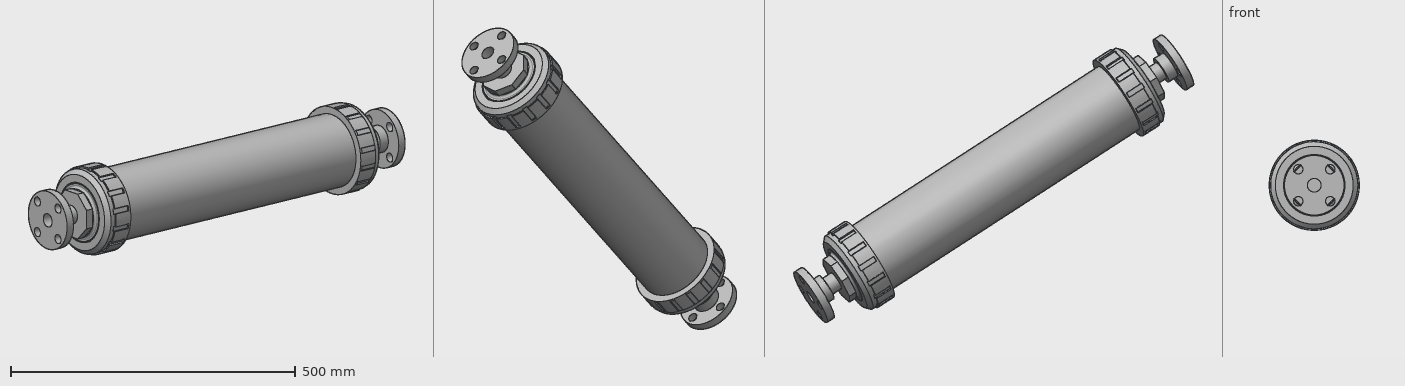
import cadquery as cq
import math

total_length = 778.0
half_length = total_length / 2

flange_diameter = 106.0
flange_thickness = 15.0
bolt_hole_diameter = 16.0
bolt_circle_diameter = 79.0
bolt_count = 4
bore_diameter = 24.0

hub_diameter = 49.0
hub_length = 19.0
pipe_diameter = 33.5
pipe_length = 21.0

nut_side_count = 8
nut_across_flats = 82.5
nut_thickness = 14.0

neck_diameter = 87.0
flare_radius = 5.0
flare_diameter = neck_diameter + 2 * flare_radius
end_piece_diameter = 104.0

cap_face_diameter = 137.0
shoulder_diameter = 153.0
shoulder_chamfer_length = 8.0
shoulder_length = 9.0
grip_diameter = 159.0
grip_length = 34.0

clearance_outer_diameter = 108.0
clearance_depth = 8.0

groove_count = 15
groove_width = 9.0
groove_rim = 4.0
groove_runout = 2.0
groove_floor_radius = 76.0

tube_diameter = 132.0

flange_back = half_length - flange_thickness
hub_back = flange_back - hub_length
pipe_back = hub_back - pipe_length
nut_back = pipe_back - nut_thickness
cap_face = nut_back - flare_radius
clearance_floor = cap_face - clearance_depth
chamfer_back = cap_face - shoulder_chamfer_length
grip_front = chamfer_back - shoulder_length
grip_back = grip_front - grip_length


def cylinder(diameter, start, end):
    """Cylinder on the Y axis between two Y positions."""
    plane = cq.Workplane("XZ", origin=(0, end, 0))
    return plane.circle(diameter / 2).extrude(end - start)


def make_turned_end():
    """Cap, end piece, pipe, hub and flange, turned about Y."""
    flare_reach = flare_radius * math.sqrt(0.5)
    flare_middle = (flare_diameter / 2 - flare_reach, nut_back - flare_reach)
    profile = (
        cq.Workplane("XY")
        .moveTo(0, grip_back)
        .lineTo(grip_diameter / 2, grip_back)
        .lineTo(grip_diameter / 2, grip_front)
        .lineTo(shoulder_diameter / 2, grip_front)
        .lineTo(shoulder_diameter / 2, chamfer_back)
        .lineTo(cap_face_diameter / 2, cap_face)
        .lineTo(clearance_outer_diameter / 2, cap_face)
        .lineTo(clearance_outer_diameter / 2, clearance_floor)
        .lineTo(end_piece_diameter / 2, clearance_floor)
        .lineTo(end_piece_diameter / 2, cap_face)
        .lineTo(flare_diameter / 2, cap_face)
        .threePointArc(flare_middle, (neck_diameter / 2, nut_back))
        .lineTo(pipe_diameter / 2, nut_back)
        .lineTo(pipe_diameter / 2, hub_back)
        .lineTo(hub_diameter / 2, hub_back)
        .lineTo(hub_diameter / 2, flange_back)
        .lineTo(flange_diameter / 2, flange_back)
        .lineTo(flange_diameter / 2, half_length)
        .lineTo(0, half_length)
        .close()
    )
    return profile.revolve(360, (0, 0, 0), (0, 1, 0))


def make_nut():
    """Octagonal nut with flats facing X and Z."""
    across_corners = nut_across_flats / math.cos(math.pi / nut_side_count)
    nut = cq.Workplane("XZ", origin=(0, pipe_back, 0)).polygon(nut_side_count, across_corners)
    return nut.extrude(nut_thickness).rotate((0, 0, 0), (0, 1, 0), 180 / nut_side_count)


def make_grip_grooves():
    """Ring of flat-floored groove cutters; the first one faces -X."""
    start = grip_back + groove_rim
    length = grip_front + groove_runout - start
    depth = grip_diameter / 2 - groove_floor_radius
    cutter = cq.Workplane("XY").box(2 * depth, length, groove_width)
    cutter = cutter.translate((-grip_diameter / 2, start + length / 2, 0))
    grooves = cq.Workplane("XY")
    for index in range(groove_count):
        angle = index * 360 / groove_count
        grooves = grooves.add(cutter.rotate((0, 0, 0), (0, 1, 0), angle))
    return grooves.combine()


def make_bolt_holes():
    """Bolt hole cutters through the flange, on the diagonals."""
    plane = cq.Workplane("XZ", origin=(0, half_length, 0))
    holes = plane.polarArray(bolt_circle_diameter / 2, 180 / bolt_count, 360, bolt_count)
    return holes.circle(bolt_hole_diameter / 2).extrude(flange_thickness)


bore = cylinder(bore_diameter, pipe_back, half_length)

end = make_turned_end().union(make_nut())
end = end.cut(make_grip_grooves()).cut(make_bolt_holes()).cut(bore)

tube = cylinder(tube_diameter, -grip_back, grip_back)
result = tube.union(end).union(end.mirror("XZ"))